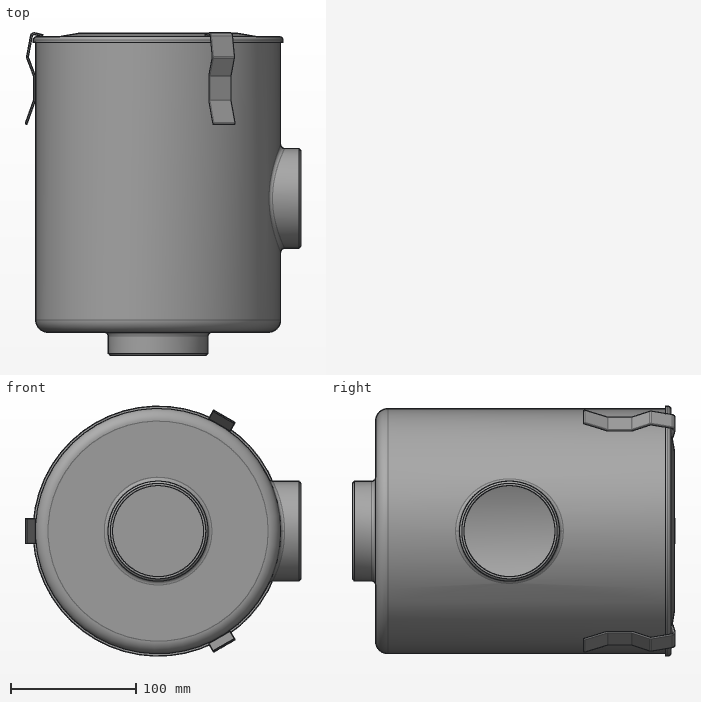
import cadquery as cq
import math

overall_length = 258.0

body_radius = 98.0
front_edge_radius = 10.0
wall = 2.0

rim_diameter = 200.0
rim_radius = rim_diameter / 2
rim_start = 231.7
rim_edge_radius = 2.8
lid_y = 236.4
dome_height = 2.8
dome_base_radius = 79.5
dome_top_radius = 63.2

socket_radius = 40.0
socket_bore_radius = 36.5
socket_chamfer = 1.8
socket_root_fillet = 3.0
socket_start = body_radius / 2
edge_margin = 0.3
side_socket_end = 114.3
side_socket_y = 107.0

clip_count = 3
clip_width = 19.9
clip_thickness = 1.5
clip_inner_bend_radius = 1.5
clip_edge_round = 0.3
clip_tip_round = 1.0
clip_top_y = lid_y + 3.9
clip_hook_end_radius = 92.0
clip_corner_radius = 101.5
clip_elbow_radius = 105.3
clip_elbow_y = 219.8
clip_seat_top_y = 205.0
clip_seat_bottom_y = 185.5
clip_tip_radius = 106.3
clip_tip_y = 166.7


def make_shell():
    """Outer form of the canister with its lid, revolved around Y and not yet hollow."""
    half_profile = (
        cq.Workplane("XY")
        .moveTo(0, 0)
        .lineTo(body_radius - front_edge_radius, 0)
        .radiusArc((body_radius, front_edge_radius), -front_edge_radius)
        .lineTo(body_radius, rim_start)
        .lineTo(rim_radius, rim_start)
        .lineTo(rim_radius, lid_y - rim_edge_radius)
        .radiusArc((rim_radius - rim_edge_radius, lid_y), -rim_edge_radius)
        .lineTo(dome_base_radius, lid_y)
        .lineTo(dome_top_radius, lid_y + dome_height)
        .lineTo(0, lid_y + dome_height)
        .close()
    )
    return half_profile.revolve(360, (0, 0, 0), (0, 1, 0))


def make_cavity():
    """Inner space, one wall thickness inside the canister."""
    inner_radius = body_radius - wall
    inner_edge_radius = front_edge_radius - wall
    half_profile = (
        cq.Workplane("XY")
        .moveTo(0, wall)
        .lineTo(inner_radius - inner_edge_radius, wall)
        .radiusArc((inner_radius, front_edge_radius), -inner_edge_radius)
        .lineTo(inner_radius, lid_y - wall)
        .lineTo(0, lid_y - wall)
        .close()
    )
    return half_profile.revolve(360, (0, 0, 0), (0, 1, 0))


def front_cylinder(radius, length):
    """Cylinder along Y from the front socket's end into the canister."""
    return (
        cq.Workplane("XZ", origin=(0, -length, 0))
        .circle(radius)
        .extrude(-length - socket_start)
    )


def side_cylinder(radius):
    """Cylinder along X from inside the canister to the side socket's end."""
    return (
        cq.Workplane("YZ", origin=(socket_start, side_socket_y, 0))
        .circle(radius)
        .extrude(side_socket_end - socket_start)
    )


def make_housing(front_length):
    shell = make_shell()
    front_socket = front_cylinder(socket_radius, front_length).faces("<Y").chamfer(socket_chamfer)
    side_socket = side_cylinder(socket_radius).faces(">X").chamfer(socket_chamfer)
    housing = shell.union(front_socket).union(side_socket)

    reach = socket_radius + socket_root_fillet
    front_root = cq.selectors.BoxSelector(
        (-reach, -edge_margin, -reach),
        (reach, edge_margin, reach),
        boundingbox=True,
    )
    housing = housing.edges(front_root).fillet(socket_root_fillet)
    side_root = cq.selectors.BoxSelector(
        (socket_start, side_socket_y - reach, -reach),
        (body_radius + edge_margin, side_socket_y + reach, reach),
        boundingbox=True,
    )
    housing = housing.edges(side_root).fillet(socket_root_fillet)

    housing = housing.cut(make_cavity())
    housing = housing.cut(front_cylinder(socket_bore_radius, front_length))
    return housing.cut(side_cylinder(socket_bore_radius))


def offset_path(points, distance):
    """Shift an open path to the left of its direction, with mitred corners."""
    normals = []
    for (x0, y0), (x1, y1) in zip(points, points[1:]):
        length = math.hypot(x1 - x0, y1 - y0)
        normals.append((-(y1 - y0) / length, (x1 - x0) / length))
    shifted = []
    for (x, y), before, after in zip(points, normals[:1] + normals, normals + normals[-1:]):
        mitre = distance / (1 + before[0] * after[0] + before[1] * after[1])
        shifted.append((x + mitre * (before[0] + after[0]), y + mitre * (before[1] + after[1])))
    return shifted


def bend_edges(clip, points):
    """Edges across the strip that run through the given points of its side profile."""
    corners = clip.edges(cq.selectors.NearestToPointSelector((*points[0], 0)))
    for x, y in points[1:]:
        corners = corners.add(clip.edges(cq.selectors.NearestToPointSelector((x, y, 0))))
    return corners


def make_clip():
    """Bent strip on the -X side; its hook tip rests on the lid, its seat on the wall."""
    seat_radius = body_radius + clip_thickness
    outer_face = [
        (-clip_hook_end_radius, lid_y + clip_thickness),
        (-clip_corner_radius, clip_top_y),
        (-clip_elbow_radius, clip_elbow_y),
        (-seat_radius, clip_seat_top_y),
        (-seat_radius, clip_seat_bottom_y),
        (-clip_tip_radius, clip_tip_y),
    ]
    inner_face = offset_path(outer_face, clip_thickness)
    clip = (
        cq.Workplane("XY")
        .polyline(outer_face + inner_face[::-1])
        .close()
        .extrude(clip_width / 2, both=True)
    )

    bulging_side = outer_face[1:3] + inner_face[3:5]
    hollow_side = inner_face[1:3] + outer_face[3:5]
    clip = bend_edges(clip, bulging_side).fillet(clip_inner_bend_radius + clip_thickness)
    clip = bend_edges(clip, hollow_side).fillet(clip_inner_bend_radius)

    clip = bend_edges(clip, outer_face[-1:]).fillet(clip_tip_round)
    return clip.faces("|Z").edges().fillet(clip_edge_round)


clips = []
for index in range(clip_count):
    angle = index * 360 / clip_count
    clips.append(make_clip().rotate((0, 0, 0), (0, 1, 0), angle).val())

front_socket_length = overall_length - clips[0].BoundingBox().ymax
housing = make_housing(front_socket_length)

result = cq.Compound.makeCompound([housing.val(), *clips])